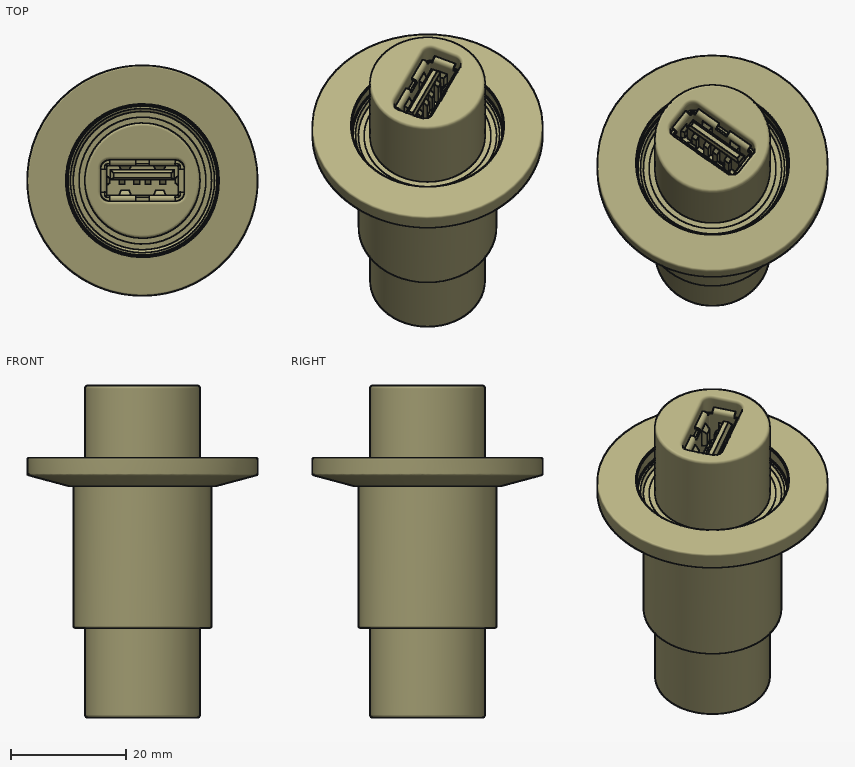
import cadquery as cq
import math

TOTAL_HEIGHT = 57.6
TUBE_BOTTOM = 15.55
FLANGE_TOP = 45.1

FLANGE_RADIUS = 20.0
FLANGE_THICKNESS = 5.0
FLANGE_FOOT_RADIUS = 12.6
FLANGE_TAPER = 15.0
RIM_FILLET = 0.35
RECESS_RADIUS = 26.2 / 2
RECESS_DEPTH = 2.55
RECESS_CHAMFER = 0.2
BORE_LEAD_IN = 0.5

TUBE_RADIUS = 12.0
TUBE_BORE_RADIUS = 11.0
TUBE_FILLET = 0.35
PLUG_RADIUS = 20.0 / 2
PLUG_FILLET = 0.5
TUBE_DEPTH = 3.0
TUBE_TOP = FLANGE_TOP - TUBE_DEPTH

SHELL_INNER_X = 12.45
SHELL_INNER_Y = 5.05
SHELL_WALL = 0.35
SHELL_INNER_CORNER = 0.2
SHELL_TOP = TOTAL_HEIGHT - 3.0
SHELL_LENGTH = 8.65
SHELL_BOTTOM = SHELL_TOP - SHELL_LENGTH

LIP_RADIUS = 0.7
LIP_FLAT = 0.35
LIP_REACH = LIP_RADIUS + LIP_FLAT
LONG_LIP_SPAN = 11.35
LONG_LIP_GAP = 2.3
SHORT_LIP_SPAN = 4.0

POCKET_X = SHELL_INNER_X + 2 * LIP_REACH
POCKET_Y = SHELL_INNER_Y + 2 * LIP_REACH
POCKET_CORNER = 1.55
POCKET_DEPTH = 3.8
POCKET_FILLET = 0.6

LONG_SPRING_TOP = SHELL_TOP - 0.45
SHORT_SPRING_TOP = SHELL_TOP - 1.7
SPRING_LENGTH = 3.45
SPRING_SLOPE_LENGTH = 0.85
LONG_SPRING_OFFSET = 3.0
LONG_SPRING_BASE = 2.1
LONG_SPRING_TIP = 1.4
FRONT_SPRING_DEPTH = 0.85
SHORT_SPRING_BASE = 1.65
SHORT_SPRING_TIP = 0.85
SHORT_SPRING_DEPTH = 0.5

BASE_THICKNESS = 2.3
BASE_TOP = SHELL_BOTTOM + BASE_THICKNESS
TONGUE_X = 11.1
TONGUE_BACK = 1.85
TONGUE_FRONT = 0.1
TONGUE_TOP = TOTAL_HEIGHT - 3.05
TIP_X = 10.0
TIP_BACK = 1.3
TIP_FRONT = 0.45
TIP_HEIGHT = 0.85
CONTACT_OFFSETS = (-3.5, -1.0, 1.0, 3.5)
CONTACT_WIDTH = 1.0
CONTACT_DEPTH = 0.75
CONTACT_SLOPE_LENGTH = 0.75
CONTACT_TOP = TONGUE_TOP - 1.05


def block(size_x, size_y, bottom, top):
    """Upright box centred on the axis."""
    return cq.Workplane("XY").workplane(offset=bottom).rect(size_x, size_y).extrude(top - bottom)


def rounded_block(size_x, size_y, corner, bottom, top):
    """Upright box centred on the axis, with rounded vertical edges."""
    return block(size_x, size_y, bottom, top).edges("|Z").fillet(corner)


def make_flange():
    foot_z = FLANGE_TOP - FLANGE_THICKNESS
    taper_rise = (FLANGE_RADIUS - FLANGE_FOOT_RADIUS) * math.tan(math.radians(FLANGE_TAPER))
    shelf_z = FLANGE_TOP - RECESS_DEPTH
    profile = (
        cq.Workplane("XZ")
        .moveTo(TUBE_RADIUS, foot_z)
        .lineTo(FLANGE_FOOT_RADIUS, foot_z)
        .lineTo(FLANGE_RADIUS, foot_z + taper_rise)
        .lineTo(FLANGE_RADIUS, FLANGE_TOP)
        .lineTo(RECESS_RADIUS + RECESS_CHAMFER, FLANGE_TOP)
        .lineTo(RECESS_RADIUS, FLANGE_TOP - RECESS_CHAMFER)
        .lineTo(RECESS_RADIUS, shelf_z + RECESS_CHAMFER)
        .lineTo(RECESS_RADIUS - RECESS_CHAMFER, shelf_z)
        .lineTo(TUBE_RADIUS + BORE_LEAD_IN, shelf_z)
        .lineTo(TUBE_RADIUS, TUBE_TOP)
        .close()
    )
    flange = profile.revolve(360, (0, 0), (0, 1))
    rim = cq.selectors.RadiusNthSelector(-1)
    return flange.edges(rim).fillet(RIM_FILLET)


def make_tube():
    tube = cq.Workplane("XY").workplane(offset=TUBE_BOTTOM).circle(TUBE_RADIUS)
    tube = tube.extrude(TUBE_TOP - TUBE_BOTTOM)
    tube = tube.faces("<Z").edges().fillet(TUBE_FILLET)
    return tube.faces(">Z").workplane().circle(TUBE_BORE_RADIUS).cutThruAll()


def make_filler_ring():
    ring = cq.Workplane("XY").workplane(offset=TUBE_BOTTOM)
    ring = ring.circle(TUBE_BORE_RADIUS).circle(PLUG_RADIUS)
    return ring.extrude(TUBE_TOP - TUBE_BOTTOM)


def shell_envelope(top):
    """Outside of the shell, filled solid."""
    return rounded_block(
        SHELL_INNER_X + 2 * SHELL_WALL,
        SHELL_INNER_Y + 2 * SHELL_WALL,
        SHELL_INNER_CORNER + SHELL_WALL,
        SHELL_BOTTOM,
        top,
    )


def shell_cavity(bottom, top):
    """Inside of the shell, filled solid."""
    return rounded_block(SHELL_INNER_X, SHELL_INNER_Y, SHELL_INNER_CORNER, bottom, top)


def make_plug():
    plug = cq.Workplane("XY").circle(PLUG_RADIUS).extrude(TOTAL_HEIGHT)
    plug = plug.edges("%CIRCLE").fillet(PLUG_FILLET)
    pocket_floor = TOTAL_HEIGHT - POCKET_DEPTH
    plug = plug.cut(rounded_block(POCKET_X, POCKET_Y, POCKET_CORNER, pocket_floor, TOTAL_HEIGHT))
    mouth = cq.selectors.BoxSelector(
        (-POCKET_X / 2, -POCKET_Y / 2, TOTAL_HEIGHT - POCKET_FILLET / 2),
        (POCKET_X / 2, POCKET_Y / 2, TOTAL_HEIGHT + POCKET_FILLET / 2),
        boundingbox=False,
    )
    plug = plug.faces(">Z").edges(mouth).fillet(POCKET_FILLET)
    return plug.cut(shell_envelope(SHELL_TOP))


def on_wall(body, turn, wall_distance, shift):
    """Move a body built against the plane Y = 0 to a shell wall, turned about the axis."""
    return body.translate((shift, wall_distance, 0)).rotate((0, 0, 0), (0, 0, 1), turn)


def make_lip(length):
    """Lip curling from the vertical wall to the horizontal, outward along +Y."""
    diagonal = math.sqrt(0.5)
    under_radius = LIP_RADIUS - SHELL_WALL
    lip_top = SHELL_TOP + LIP_RADIUS
    return (
        cq.Workplane("YZ")
        .moveTo(0, SHELL_TOP)
        .threePointArc(
            (LIP_RADIUS * (1 - diagonal), SHELL_TOP + LIP_RADIUS * diagonal),
            (LIP_RADIUS, lip_top),
        )
        .lineTo(LIP_REACH, lip_top)
        .lineTo(LIP_REACH, lip_top - SHELL_WALL)
        .lineTo(LIP_RADIUS, lip_top - SHELL_WALL)
        .threePointArc(
            (LIP_RADIUS - under_radius * diagonal, SHELL_TOP + under_radius * diagonal),
            (SHELL_WALL, SHELL_TOP),
        )
        .close()
        .extrude(length / 2, both=True)
    )


def make_spring(base, tip, depth, top):
    """Spring with bevelled sides and a sloping top, reaching inward along -Y."""
    bottom = top - SPRING_LENGTH
    bump = (
        cq.Workplane("XY")
        .workplane(offset=bottom)
        .polyline([(-base / 2, 0), (base / 2, 0), (tip / 2, -depth), (-tip / 2, -depth)])
        .close()
        .extrude(SPRING_LENGTH)
    )
    above_slope = (
        cq.Workplane("YZ")
        .polyline([(0, top), (-depth, top), (-depth, top - SPRING_SLOPE_LENGTH)])
        .close()
        .extrude(base, both=True)
    )
    return bump.cut(above_slope)


def make_shell():
    shell = shell_envelope(SHELL_TOP).cut(shell_cavity(SHELL_BOTTOM, SHELL_TOP))

    long_lip_length = (LONG_LIP_SPAN - LONG_LIP_GAP) / 2
    long_lip_offset = (LONG_LIP_SPAN + LONG_LIP_GAP) / 4
    long_lip = make_lip(long_lip_length)
    back_spring_depth = SHELL_INNER_Y / 2 - TONGUE_BACK
    for turn, depth in ((0, back_spring_depth), (180, FRONT_SPRING_DEPTH)):
        long_spring = make_spring(LONG_SPRING_BASE, LONG_SPRING_TIP, depth, LONG_SPRING_TOP)
        for side in (-1, 1):
            shell = shell.union(on_wall(long_lip, turn, SHELL_INNER_Y / 2, side * long_lip_offset))
            shell = shell.union(on_wall(long_spring, turn, SHELL_INNER_Y / 2, side * LONG_SPRING_OFFSET))

    short_lip = make_lip(SHORT_LIP_SPAN)
    short_spring = make_spring(SHORT_SPRING_BASE, SHORT_SPRING_TIP, SHORT_SPRING_DEPTH, SHORT_SPRING_TOP)
    for turn in (90, 270):
        shell = shell.union(on_wall(short_lip, turn, SHELL_INNER_X / 2, 0))
        shell = shell.union(on_wall(short_spring, turn, SHELL_INNER_X / 2, 0))
    return shell


def make_tongue():
    """Flat tongue whose end tapers on all four sides to a narrower tip."""
    thickness = TONGUE_BACK - TONGUE_FRONT
    centre_y = (TONGUE_BACK + TONGUE_FRONT) / 2
    shoulder_z = TONGUE_TOP - TIP_HEIGHT
    blade = block(TONGUE_X, thickness, BASE_TOP, shoulder_z).translate((0, centre_y, 0))
    tip = (
        cq.Workplane("XY")
        .workplane(offset=shoulder_z)
        .center(0, centre_y)
        .rect(TONGUE_X, thickness)
        .workplane(offset=TIP_HEIGHT)
        .center(0, (TIP_BACK + TIP_FRONT) / 2 - centre_y)
        .rect(TIP_X, TIP_BACK - TIP_FRONT)
        .loft(ruled=True)
    )
    return blade.union(tip)


def make_contact():
    """Contact strip with a sloping top, standing out from the front of the tongue."""
    contact_front = TONGUE_FRONT - CONTACT_DEPTH
    return (
        cq.Workplane("YZ")
        .moveTo(TONGUE_FRONT, BASE_TOP)
        .lineTo(TONGUE_FRONT, CONTACT_TOP)
        .lineTo(contact_front, CONTACT_TOP - CONTACT_SLOPE_LENGTH)
        .lineTo(contact_front, BASE_TOP)
        .close()
        .extrude(CONTACT_WIDTH / 2, both=True)
    )


def make_insulator():
    insulator = shell_cavity(SHELL_BOTTOM, BASE_TOP).union(make_tongue())
    contact = make_contact()
    for offset in CONTACT_OFFSETS:
        insulator = insulator.union(contact.translate((offset, 0, 0)))
    return insulator


flange = make_flange()
tube = make_tube()
filler_ring = make_filler_ring()
plug = make_plug()
shell = make_shell()
insulator = make_insulator()

result = cq.Compound.makeCompound(
    [flange.val(), tube.val(), filler_ring.val(), plug.val(), shell.val(), insulator.val()]
)